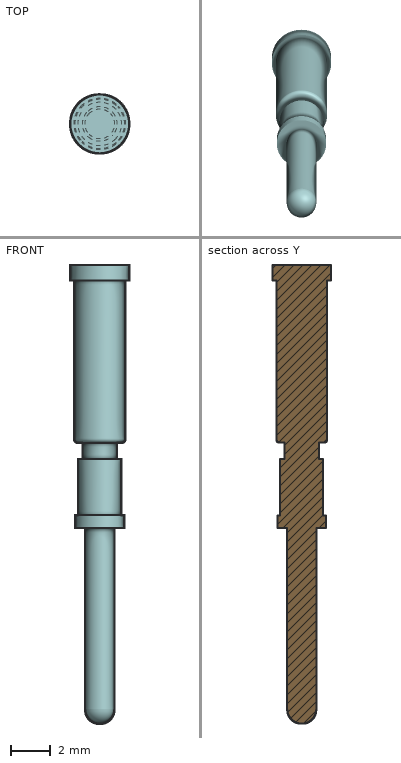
import cadquery as cq

total_length = 23.2

head_diameter = 3.0
barrel_diameter = 2.6
neck_diameter = 1.75
body_diameter = 2.2
flange_diameter = 2.5
pin_diameter = 1.5

head_length = 0.8
barrel_length = 8.2
neck_length = 0.8
body_length = 2.85
flange_length = 0.65

barrel_fillet = 0.2

pin_length = total_length - head_length - barrel_length - neck_length - body_length - flange_length
tip_radius = pin_diameter / 2


def cylinder_below(top_z, diameter, length):
    """Upright cylinder on the Z axis, hanging down from top_z."""
    return cq.Workplane("XY").workplane(offset=top_z - length).circle(diameter / 2).extrude(length)


def make_barrel(top_z):
    """Barrel with its lower rim rounded."""
    barrel = cylinder_below(top_z, barrel_diameter, barrel_length)
    return barrel.faces("<Z").edges().fillet(barrel_fillet)


def make_pin():
    """Slender pin from the flange down to Z = 0, with a hemispherical tip."""
    half_profile = (
        cq.Workplane("XZ")
        .moveTo(0, pin_length)
        .lineTo(tip_radius, pin_length)
        .lineTo(tip_radius, tip_radius)
        .radiusArc((0, 0), tip_radius)
        .close()
    )
    return half_profile.revolve(360, (0, 0, 0), (0, 1, 0))


barrel_top = total_length - head_length
neck_top = barrel_top - barrel_length
body_top = neck_top - neck_length
flange_top = body_top - body_length

head = cylinder_below(total_length, head_diameter, head_length)
barrel = make_barrel(barrel_top)
neck = cylinder_below(neck_top, neck_diameter, neck_length)
body = cylinder_below(body_top, body_diameter, body_length)
flange = cylinder_below(flange_top, flange_diameter, flange_length)
pin = make_pin()

result = head.union(barrel).union(neck).union(body).union(flange).union(pin)